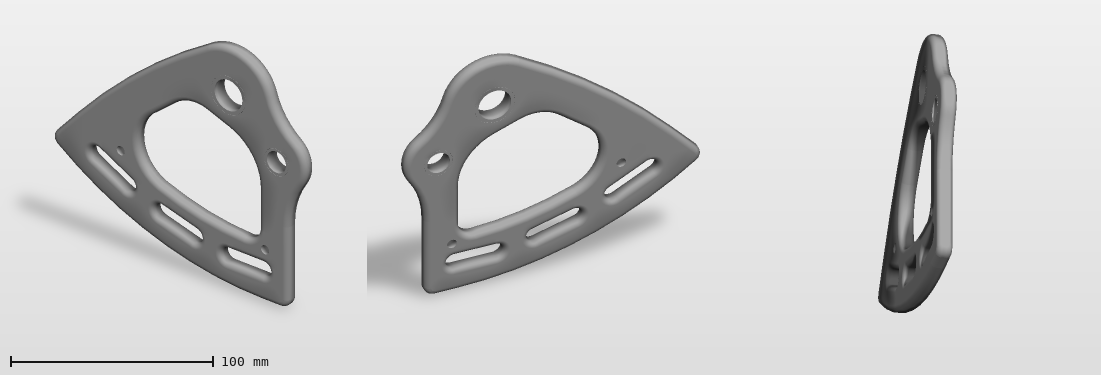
import cadquery as cq
import math


thickness = 8.0
back_face_origin = (0, thickness / 2, 0)
edge_round = 3.0
overall_length = 157.6
overall_height = 136.2
right_edge_x = 146.9
corner_radius = 5.0

large_center = (110.0, 109.4)
large_hole_diameter = 21.5
large_outer_diameter = 21.3
large_bore_diameter = 17.3
large_lobe_radius = overall_height - large_center[1]

small_center = (140.0, 82.0)
small_hole_diameter = 15.1
small_outer_diameter = 15.0
small_bore_diameter = 12.0
small_lobe_radius = overall_length - small_center[0]

neck_radius = 39.9
waist_radius = 46.0
bottom_radius = 213.0
bottom_center = (130.3, bottom_radius)
back_center = (273.0, -165.8)

window_right_x = 128.8
window_upper_right_radius = 29.2
window_upper_right_z = 62.9
window_top_center = (88.7, 75.5)
window_top_radius = 21.1
window_left_center = (74.7, 63.0)
window_left_radius = 22.0
window_lower_right_radius = 8.4
window_bottom_center = (124.8, 192.9)

slot_width = 8.0
slot_length = 30.4
slot_path_radius = 195.9
slot_placements = [(3.0, 0.0), (15.6, 15.4), (28.5, 27.8)]

pin_hole_diameter = 5.0
pin_hole_centers = [(42.7, 54.0), (132.9, 29.6)]


def point_toward(start, target, distance):
    """Point at a distance from start, in the direction of target."""
    fraction = distance / math.dist(start, target)
    return (start[0] + fraction * (target[0] - start[0]), start[1] + fraction * (target[1] - start[1]))


def touch_inside(big_center, small_center, small_radius):
    """Contact point of a small circle that touches a big circle from inside."""
    return point_toward(big_center, small_center, math.dist(big_center, small_center) + small_radius)


def tangent_points(center_a, radius_a, center_b, radius_b):
    """Ends of the straight edge lying to the left of both circles when going from a to b."""
    heading = math.atan2(center_b[1] - center_a[1], center_b[0] - center_a[0])
    normal = heading + math.acos((radius_a - radius_b) / math.dist(center_a, center_b))
    return [
        (center[0] + radius * math.cos(normal), center[1] + radius * math.sin(normal))
        for center, radius in ((center_a, radius_a), (center_b, radius_b))
    ]


def arc_to(path, center, end):
    """Continue the path along the shorter arc about a centre."""
    start = path[-1][-1]
    chord_middle = ((start[0] + end[0]) / 2, (start[1] + end[1]) / 2)
    path.append((point_toward(center, chord_middle, math.dist(center, end)), end))


def line_to(path, end):
    path.append((end,))


def prism(path):
    """Extrude a closed path of lines and arcs through the plate thickness."""
    sketch = cq.Workplane("XZ", origin=back_face_origin).moveTo(*path[0][0])
    for step in path[1:]:
        if len(step) == 2:
            sketch = sketch.threePointArc(*step)
        else:
            sketch = sketch.lineTo(*step[0])
    return sketch.close().extrude(thickness)


def cylinder(center, diameter):
    return cq.Workplane("XZ", origin=back_face_origin).center(*center).circle(diameter / 2).extrude(thickness)


def plate_blank():
    tip_x = corner_radius
    tip_drop = math.sqrt((bottom_radius - corner_radius) ** 2 - (bottom_center[0] - tip_x) ** 2)
    tip_center = (tip_x, bottom_center[1] - tip_drop)
    tip_bottom = touch_inside(bottom_center, tip_center, corner_radius)

    back_radius = math.dist(back_center, large_center) + large_lobe_radius
    tip_end, back_start = tangent_points(tip_center, corner_radius, back_center, back_radius)
    back_end = touch_inside(back_center, large_center, large_lobe_radius)

    neck_to_large = large_lobe_radius + neck_radius
    neck_to_small = small_lobe_radius + neck_radius
    lobe_gap = math.dist(large_center, small_center)
    along = (lobe_gap**2 + neck_to_large**2 - neck_to_small**2) / (2 * lobe_gap)
    across = math.sqrt(neck_to_large**2 - along**2)
    foot = point_toward(large_center, small_center, along)
    neck_center = (
        foot[0] - across * (small_center[1] - large_center[1]) / lobe_gap,
        foot[1] + across * (small_center[0] - large_center[0]) / lobe_gap,
    )
    neck_start = point_toward(large_center, neck_center, large_lobe_radius)
    neck_end = point_toward(small_center, neck_center, small_lobe_radius)

    waist_x = right_edge_x + waist_radius
    waist_drop = math.sqrt((small_lobe_radius + waist_radius) ** 2 - (waist_x - small_center[0]) ** 2)
    waist_center = (waist_x, small_center[1] - waist_drop)
    waist_start = point_toward(small_center, waist_center, small_lobe_radius)

    corner_center = (right_edge_x - corner_radius, corner_radius)

    path = [(tip_bottom,)]
    arc_to(path, tip_center, tip_end)
    line_to(path, back_start)
    arc_to(path, back_center, back_end)
    arc_to(path, large_center, neck_start)
    arc_to(path, neck_center, neck_end)
    arc_to(path, small_center, waist_start)
    arc_to(path, waist_center, (right_edge_x, waist_center[1]))
    line_to(path, (right_edge_x, corner_center[1]))
    arc_to(path, corner_center, (corner_center[0], 0))
    line_to(path, (bottom_center[0], 0))
    arc_to(path, bottom_center, tip_bottom)
    return prism(path)


def window():
    left_edge = tangent_points(window_left_center, window_left_radius, window_top_center, window_top_radius)
    upper_right_center = (window_right_x - window_upper_right_radius, window_upper_right_z)
    upper_edge = tangent_points(
        window_top_center, window_top_radius, upper_right_center, window_upper_right_radius
    )

    bow_radius = math.dist(window_bottom_center, window_left_center) + window_left_radius
    lower_right_x = window_right_x - window_lower_right_radius
    lower_right_drop = math.sqrt(
        (bow_radius - window_lower_right_radius) ** 2 - (window_bottom_center[0] - lower_right_x) ** 2
    )
    lower_right_center = (lower_right_x, window_bottom_center[1] - lower_right_drop)
    bow_right = touch_inside(window_bottom_center, lower_right_center, window_lower_right_radius)
    bow_left = touch_inside(window_bottom_center, window_left_center, window_left_radius)

    path = [(bow_left,)]
    arc_to(path, window_left_center, left_edge[0])
    line_to(path, left_edge[1])
    arc_to(path, window_top_center, upper_edge[0])
    line_to(path, upper_edge[1])
    arc_to(path, upper_right_center, (window_right_x, upper_right_center[1]))
    line_to(path, (window_right_x, lower_right_center[1]))
    arc_to(path, lower_right_center, bow_right)
    arc_to(path, window_bottom_center, bow_left)
    return prism(path)


def slot(angle, tilt):
    x = bottom_center[0] - slot_path_radius * math.sin(math.radians(angle))
    z = bottom_center[1] - slot_path_radius * math.cos(math.radians(angle))
    outline = cq.Workplane("XZ", origin=back_face_origin).center(x, z).slot2D(slot_length, slot_width, -tilt)
    return outline.extrude(thickness)


def make_plate():
    body = plate_blank().cut(window())
    for angle, tilt in slot_placements:
        body = body.cut(slot(angle, tilt))
    body = body.faces("<Y or >Y").edges().fillet(edge_round)

    body = body.cut(cylinder(large_center, large_hole_diameter))
    body = body.cut(cylinder(small_center, small_hole_diameter))
    for center in pin_hole_centers:
        body = body.cut(cylinder(center, pin_hole_diameter))
    return body


def make_bushing(center, outer_diameter, bore_diameter):
    return cylinder(center, outer_diameter).cut(cylinder(center, bore_diameter))


plate = make_plate()
large_bushing = make_bushing(large_center, large_outer_diameter, large_bore_diameter)
small_bushing = make_bushing(small_center, small_outer_diameter, small_bore_diameter)

result = cq.Compound.makeCompound([plate.val(), large_bushing.val(), small_bushing.val()])